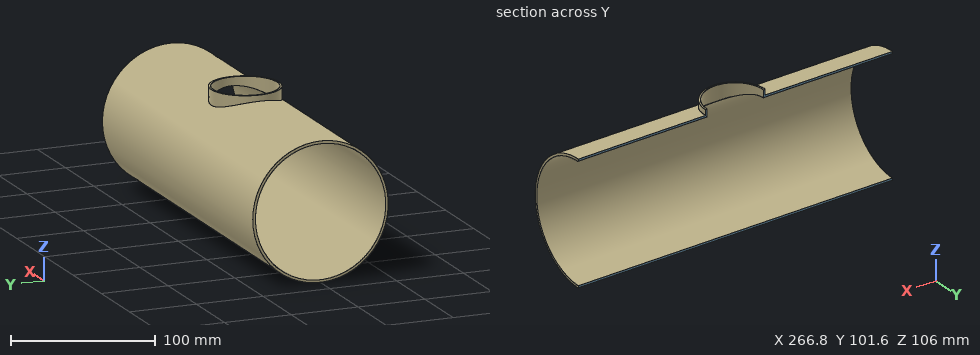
import cadquery as cq

run_length = 266.8
run_outer_diameter = 101.6
run_inner_diameter = 97.6

branch_outer_diameter = 50.8
branch_inner_diameter = 47.8
overall_height = 106.0
branch_top = overall_height - run_outer_diameter / 2


def run_cylinder(diameter):
    """Solid cylinder along the full length of the main pipe."""
    return cq.Workplane("YZ").circle(diameter / 2).extrude(run_length / 2, both=True)


def branch_cylinder(diameter):
    """Solid cylinder from the main pipe axis up to the top of the branch."""
    return cq.Workplane("XY").circle(diameter / 2).extrude(branch_top)


outer_body = run_cylinder(run_outer_diameter).union(branch_cylinder(branch_outer_diameter))
result = (
    outer_body
    .cut(run_cylinder(run_inner_diameter))
    .cut(branch_cylinder(branch_inner_diameter))
)